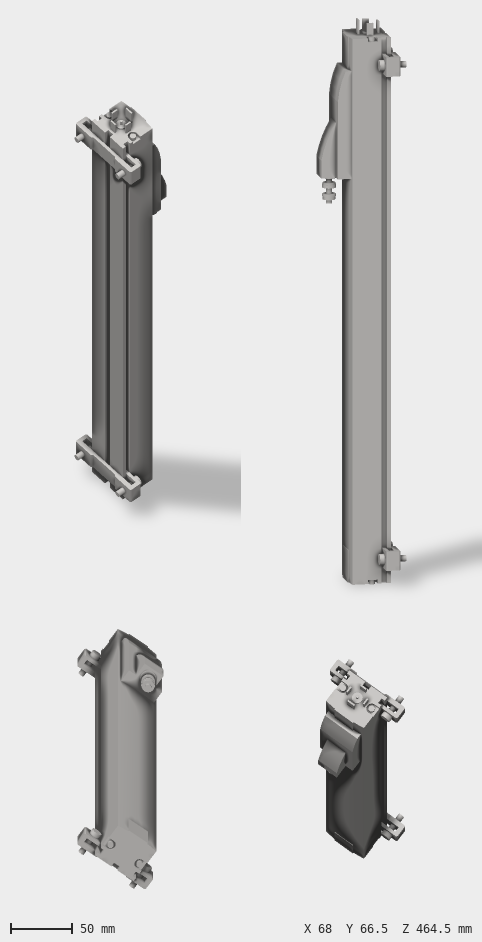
import cadquery as cq


rail_length = 451.5
rail_half_width = 19.0
rail_corner_y = 16.5
rail_crown_y = 18.0
rail_front_y = -15.0
groove_back_y = -7.0
groove_front_y = -11.5
groove_floor_x = 16.0
front_slot_width = 6.0
front_slot_depth = 3.5

strip_width = 18.5
strip_length = 27.0
strip_y = 18.5

end_screw_x = 14.5
end_screw_diameter = 5.0
end_screw_projection = 1.0
notch_width = 8.5
notch_depth = 3.3

flange_diameter = 9.0
flange_height = 1.5
center_pin_diameter = 2.0
center_pin_height = 5.5
blade_radius = 8.5
blade_thickness = 1.5
wide_blade_width = 7.0
wide_blade_height = 12.0
narrow_blade_width = 5.5
narrow_blade_height = 10.0

clamp_from_end = 21.5
clamp_height = 16.0
clamp_half_width = 34.0
clamp_back_y = -8.0
clamp_front_y = -19.5
clamp_middle_front_y = -18.0
clamp_pocket_half_width = 30.0
clamp_pocket_back_y = -10.5
clamp_pocket_front_y = -15.5
clamp_step_outer_x = 15.0
clamp_step_inner_x = 13.5
clamp_corner_chamfer = 1.0

clamp_screw_x = 25.0
clamp_screw_diameter = 5.0
clamp_screw_tip_y = -26.0
clamp_screw_head_diameter = 9.0
clamp_screw_head_back_y = -3.5

slider_bottom_z = 335.5
base_half_width = 16.3
base_top_z = 424.5
base_top_y = 22.0
base_back_y = 28.5
base_arc_mid = (25.5, 415.0)
base_arc_end_z = 399.5
hump_half_width = 9.5
hump_top_z = 381.0
hump_back_y = 40.5
hump_arc_mid = (35.5, 367.5)
hump_arc_end_z = 350.2

stud_y = 32.0
stud_sections = [
    (13.0, 334.0, slider_bottom_z),
    (5.0, 312.5, 334.0),
    (10.0, 328.5, 330.0),
    (11.0, 325.5, 328.5),
    (11.0, 318.5, 320.5),
    (10.0, 316.0, 318.5),
]


def mirrored_pair(shape):
    """The shape together with its mirror image in the YZ plane."""
    return shape.union(shape.mirror("YZ"))


def cylinder_z(diameter, bottom_z, top_z, x=0, y=0):
    return cq.Workplane("XY", origin=(x, y, bottom_z)).circle(diameter / 2).extrude(top_z - bottom_z)


def box_between(x0, x1, y0, y1, z0, z1):
    return cq.Workplane("XY").box(x1 - x0, y1 - y0, z1 - z0, centered=False).translate((x0, y0, z0))


def make_rail():
    half_slot = front_slot_width / 2
    right_outline = [
        (half_slot, rail_front_y),
        (rail_half_width, rail_front_y),
        (rail_half_width, groove_front_y),
        (groove_floor_x, groove_front_y),
        (groove_floor_x, groove_back_y),
        (rail_half_width, groove_back_y),
        (rail_half_width, rail_corner_y),
    ]
    left_outline = [(-x, y) for x, y in reversed(right_outline)]
    slot_floor_y = rail_front_y + front_slot_depth
    return (
        cq.Workplane("XY")
        .polyline([(-half_slot, slot_floor_y), (half_slot, slot_floor_y)] + right_outline)
        .threePointArc((0, rail_crown_y), left_outline[0])
        .polyline(left_outline[1:], includeCurrent=True)
        .close()
        .extrude(rail_length)
    )


def make_strips():
    half_width = strip_width / 2
    lower = box_between(-half_width, half_width, 0, strip_y, 0, strip_length)
    return lower.union(lower.translate((0, 0, rail_length - strip_length)))


def make_end_notches():
    half_width = notch_width / 2
    lower = cylinder_z(notch_width, 0, notch_depth, x=end_screw_x).union(
        box_between(end_screw_x, rail_half_width, -half_width, half_width, 0, notch_depth)
    )
    upper = lower.translate((0, 0, rail_length - notch_depth))
    return mirrored_pair(lower.union(upper))


def make_end_screws():
    lower = cylinder_z(end_screw_diameter, -end_screw_projection, notch_depth, x=end_screw_x)
    upper = cylinder_z(end_screw_diameter, rail_length - notch_depth, rail_length, x=end_screw_x)
    return mirrored_pair(lower.union(upper))


def make_connector():
    connector = cylinder_z(flange_diameter, rail_length, rail_length + flange_height)
    connector = connector.union(
        cylinder_z(center_pin_diameter, rail_length, rail_length + center_pin_height)
    )
    blade_sizes = [
        (0, narrow_blade_width, narrow_blade_height),
        (90, wide_blade_width, wide_blade_height),
        (180, narrow_blade_width, narrow_blade_height),
        (270, narrow_blade_width, narrow_blade_height),
    ]
    for angle, width, height in blade_sizes:
        blade = (
            cq.Workplane("XY", origin=(blade_radius, 0, rail_length))
            .rect(blade_thickness, width)
            .extrude(height)
            .rotate((0, 0, 0), (0, 0, 1), angle)
        )
        connector = connector.union(blade)
    return connector


def make_clamp_screw(x):
    head_height = clamp_screw_head_back_y - clamp_back_y
    head = (
        cq.Workplane("XZ", origin=(x, clamp_screw_head_back_y, 0))
        .circle(clamp_screw_head_diameter / 2)
        .extrude(head_height)
    )
    shank = (
        cq.Workplane("XZ", origin=(x, clamp_back_y, 0))
        .circle(clamp_screw_diameter / 2)
        .extrude(clamp_back_y - clamp_screw_tip_y)
    )
    return head.union(shank)


def make_clamp(center_z):
    """Clamp bracket hooked into both side grooves, with its two screws."""
    plate = (
        cq.Workplane("XY")
        .polyline([
            (-clamp_half_width, clamp_back_y),
            (-clamp_half_width, clamp_front_y),
            (-clamp_step_outer_x, clamp_front_y),
            (-clamp_step_inner_x, clamp_middle_front_y),
            (clamp_step_inner_x, clamp_middle_front_y),
            (clamp_step_outer_x, clamp_front_y),
            (clamp_half_width, clamp_front_y),
            (clamp_half_width, clamp_back_y),
        ])
        .close()
        .extrude(clamp_height / 2, both=True)
    )
    plate = plate.edges("|Z and (<X or >X)").chamfer(clamp_corner_chamfer)
    mouth = cq.Workplane("XY").box(2 * groove_floor_x, 2 * -clamp_pocket_front_y, clamp_height)
    pocket = box_between(
        -clamp_pocket_half_width, clamp_pocket_half_width,
        clamp_pocket_front_y, clamp_pocket_back_y,
        -clamp_height / 2, clamp_height / 2,
    )
    clamp = plate.cut(mouth).cut(pocket)
    for x in (-clamp_screw_x, clamp_screw_x):
        clamp = clamp.union(make_clamp_screw(x))
    return clamp.translate((0, 0, center_z))


def make_housing(rail):
    housing = rail.union(make_strips()).cut(make_end_notches())
    housing = housing.union(make_end_screws()).union(make_connector())
    for center_z in (clamp_from_end, rail_length - clamp_from_end):
        housing = housing.union(make_clamp(center_z))
    return housing


def make_slider(rail):
    """Slider with its ball stud; its underside follows the arched back of the rail."""
    base = (
        cq.Workplane("YZ")
        .moveTo(0, slider_bottom_z)
        .lineTo(base_back_y, slider_bottom_z)
        .lineTo(base_back_y, base_arc_end_z)
        .threePointArc(base_arc_mid, (base_top_y, base_top_z))
        .lineTo(0, base_top_z)
        .close()
        .extrude(base_half_width, both=True)
    )
    hump = (
        cq.Workplane("YZ")
        .moveTo(base_back_y, slider_bottom_z)
        .lineTo(hump_back_y, slider_bottom_z)
        .lineTo(hump_back_y, hump_arc_end_z)
        .threePointArc(hump_arc_mid, (base_back_y, hump_top_z))
        .close()
        .extrude(hump_half_width, both=True)
    )
    slider = base.union(hump).cut(rail)
    for diameter, lower_z, upper_z in stud_sections:
        slider = slider.union(cylinder_z(diameter, lower_z, upper_z, y=stud_y))
    return slider


rail = make_rail()
housing = make_housing(rail)
slider = make_slider(rail)

result = cq.Compound.makeCompound([housing.val(), slider.val()])